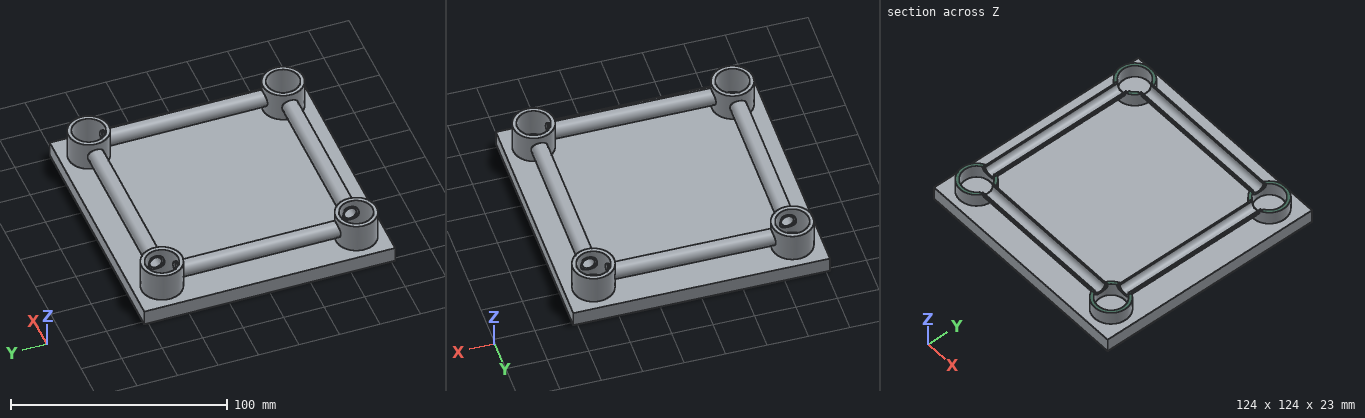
import cadquery as cq

plate_side = 124.0
plate_thickness = 8.0

cup_spacing = 96.0
cup_diameter = 20.0
cup_bore_diameter = 16.0
cup_height = 15.0
half_spacing = cup_spacing / 2

tube_diameter = 8.0
tube_bore_diameter = 6.0
tube_length = cup_spacing - cup_bore_diameter
tube_axis_z = plate_thickness + cup_height / 2


def base_plate():
    """The square plate under the frame; its top is also the floor of every cup."""
    return cq.Workplane("XY").box(plate_side, plate_side, plate_thickness, centered=(True, True, False))


def four_rods(diameter, length):
    """Horizontal rods, one centred on each side of the square through the cup axes."""
    along_x = cq.Workplane("YZ", origin=(-length / 2, 0, tube_axis_z))
    along_x = along_x.pushPoints([(-half_spacing, 0), (half_spacing, 0)])
    along_x = along_x.circle(diameter / 2).extrude(length)
    along_y = along_x.rotate((0, 0, 0), (0, 0, 1), 90)
    return along_x.union(along_y)


def cups():
    """Four cups, each with two round openings in its wall to receive the tube ends."""
    rings = (
        cq.Workplane("XY")
        .workplane(offset=plate_thickness)
        .rect(cup_spacing, cup_spacing, forConstruction=True)
        .vertices()
        .circle(cup_diameter / 2)
        .circle(cup_bore_diameter / 2)
        .extrude(cup_height)
    )
    return rings.cut(four_rods(tube_diameter, cup_spacing))


def tubes():
    """Four hollow tubes, open at both ends into the cups."""
    return four_rods(tube_diameter, tube_length).cut(four_rods(tube_bore_diameter, tube_length))


part = base_plate().union(cups()).union(tubes())
result = cq.Workplane(part.solids().val())